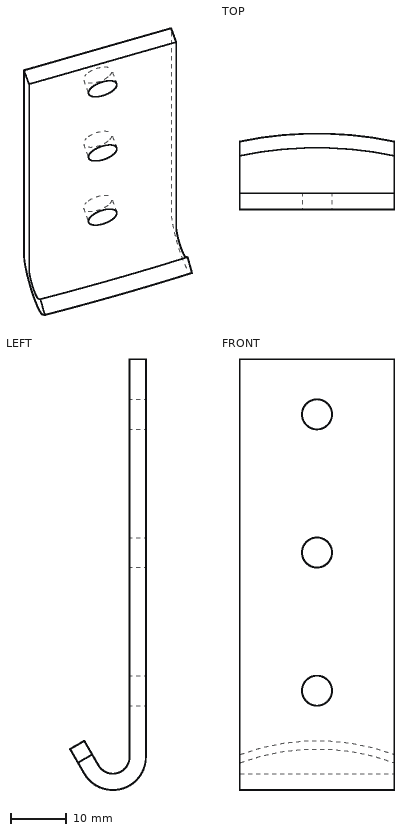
import cadquery as cq
import math

WIDTH = 28.0
HEIGHT = 78.0
DEPTH = 13.79
THICKNESS = 3.0
INNER_BEND_RADIUS = 3.0
LIP_TILT = math.radians(30.0)
LIP_CROWN_RADIUS = 35.0
TRIM_ALLOWANCE = 1.0

HOLE_DIAMETER = 5.4
HOLE_COUNT = 3
HOLE_PITCH = 25.0
TOP_HOLE_OFFSET = 10.0

OUTER_BEND_RADIUS = INNER_BEND_RADIUS + THICKNESS
BEND_Y = OUTER_BEND_RADIUS
BEND_Z = OUTER_BEND_RADIUS
LIP_START_Y = BEND_Y + OUTER_BEND_RADIUS * math.cos(LIP_TILT)
LIP_LENGTH = (DEPTH - LIP_START_Y) / math.sin(LIP_TILT)
STOCK_LIP_LENGTH = LIP_LENGTH + TRIM_ALLOWANCE


def bend_point(radius, angle):
    """Point (Y, Z) on the bend, with the angle measured from +Y toward +Z."""
    return (BEND_Y + radius * math.cos(angle), BEND_Z + radius * math.sin(angle))


def along_lip(point, distance):
    """Move a (Y, Z) point along the lip, away from the bend."""
    y, z = point
    return (y + distance * math.sin(LIP_TILT), z + distance * math.cos(LIP_TILT))


def make_hook():
    """Plate, bend and lip as one J-shaped strip with an overlong, straight-ended lip."""
    bend_middle = -(math.pi + LIP_TILT) / 2
    outer_start = bend_point(OUTER_BEND_RADIUS, -LIP_TILT)
    inner_start = bend_point(INNER_BEND_RADIUS, -LIP_TILT)
    return (
        cq.Workplane("YZ")
        .moveTo(0, HEIGHT)
        .lineTo(0, BEND_Z)
        .threePointArc(bend_point(OUTER_BEND_RADIUS, bend_middle), outer_start)
        .lineTo(*along_lip(outer_start, STOCK_LIP_LENGTH))
        .lineTo(*along_lip(inner_start, STOCK_LIP_LENGTH))
        .lineTo(*inner_start)
        .threePointArc(bend_point(INNER_BEND_RADIUS, bend_middle), (THICKNESS, BEND_Z))
        .lineTo(THICKNESS, HEIGHT)
        .close()
        .extrude(WIDTH / 2, both=True)
    )


def make_lip_trim():
    """Material beyond the crowned lip end, cut square to the lip surface."""
    half_width = WIDTH / 2
    crown_drop = LIP_CROWN_RADIUS - math.sqrt(LIP_CROWN_RADIUS**2 - half_width**2)
    inner_start = bend_point(INNER_BEND_RADIUS, -LIP_TILT)
    lip_plane = cq.Plane(
        origin=(0, *inner_start),
        xDir=(1, 0, 0),
        normal=(0, -math.cos(LIP_TILT), math.sin(LIP_TILT)),
    )
    corner_height = LIP_LENGTH - crown_drop
    return (
        cq.Workplane(lip_plane)
        .moveTo(-half_width, corner_height)
        .threePointArc((0, LIP_LENGTH), (half_width, corner_height))
        .lineTo(half_width, STOCK_LIP_LENGTH)
        .lineTo(-half_width, STOCK_LIP_LENGTH)
        .close()
        .extrude(-THICKNESS)
    )


def make_holes():
    """Vertical row of through holes on the plate centreline."""
    top_hole_z = HEIGHT - TOP_HOLE_OFFSET
    centres = [(0, top_hole_z - i * HOLE_PITCH) for i in range(HOLE_COUNT)]
    return (
        cq.Workplane("XZ")
        .pushPoints(centres)
        .circle(HOLE_DIAMETER / 2)
        .extrude(-THICKNESS)
    )


result = make_hook().cut(make_lip_trim()).cut(make_holes())